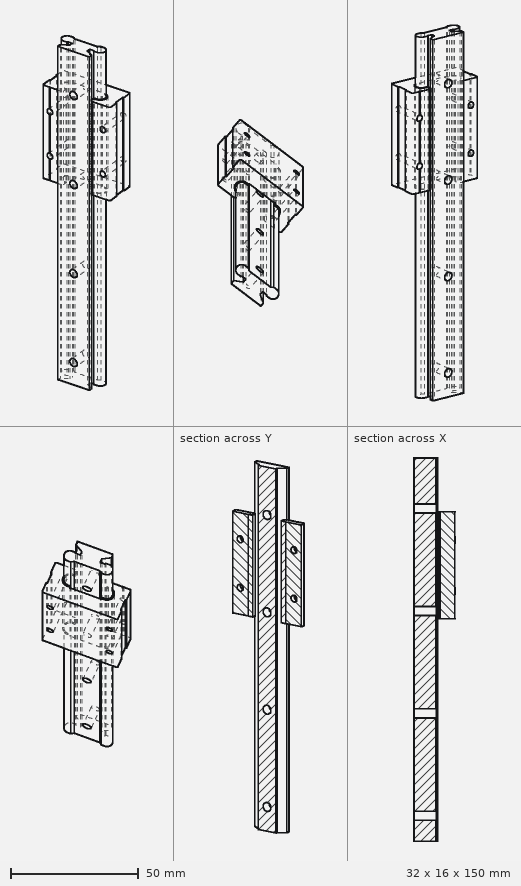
import cadquery as cq
import math


rail_length = 150.0
rail_base_width = 15.0
rail_base_edge = 1.6
rail_neck_width = 8.4
flank_angle = 30.0
head_width = 20.4
head_thickness = 4.6
head_axis = 7.0
head_flat_inner = 6.5
trough_depth = 0.8
trough_floor_width = 10.8
neck_relief = 0.38
rail_hole_diameter = 3.5
rail_hole_pitch = 40.0
rail_hole_count = 4
rail_hole_end_distance = 10.0

carriage_length = 42.0
carriage_middle = 33.0
carriage_width = 32.0
carriage_front = 2.0
carriage_back = 16.0
carriage_edge_radius = 0.52
opening_width = 13.2
lip_clearance = 0.5
ceiling_relief = 0.3
side_groove_depth = 0.5
side_groove_width = 4.8
side_groove_middle = 9.2
mark_groove_size = 0.22
carriage_hole_diameter = 2.5
carriage_hole_spacing_x = 25.0
carriage_hole_spacing_z = 20.0

liner_thickness = 0.52

flank_slope = math.tan(math.radians(flank_angle))
flank_top = rail_base_edge + flank_slope * (rail_base_width - rail_neck_width) / 2
head_radius = head_thickness / 2
arc_axis_x = head_width / 2 - head_radius
head_top = head_axis + head_radius
head_bottom = head_axis - head_radius
pocket_radius = head_radius + liner_thickness
pocket_top = head_axis + pocket_radius
pocket_bottom = head_axis - pocket_radius
carriage_bottom = carriage_middle - carriage_length / 2
lip_x = opening_width / 2


def flank_height(x):
    """Height of the rail flank at a distance x from the middle."""
    return rail_base_edge + flank_slope * (rail_base_width / 2 - x)


def cross_holes(places, diameter):
    """Round cutters along Y, long enough to pass through any body."""
    return (
        cq.Workplane("XZ", origin=(0, 2 * carriage_back, 0))
        .pushPoints(places)
        .circle(diameter / 2)
        .extrude(3 * carriage_back)
    )


def make_rail():
    half_base = rail_base_width / 2
    half_neck = rail_neck_width / 2
    trough_x = trough_floor_width / 2
    relief_x = head_flat_inner - neck_relief
    half_section = (
        cq.Workplane("XY", origin=(0, 0, -rail_length / 2))
        .lineTo(half_base, 0)
        .lineTo(half_base, rail_base_edge)
        .lineTo(half_neck, flank_top)
        .lineTo(half_neck, head_bottom + neck_relief)
        .lineTo(relief_x, head_bottom + neck_relief)
        .lineTo(head_flat_inner, head_bottom)
        .lineTo(arc_axis_x, head_bottom)
        .threePointArc((head_width / 2, head_axis), (arc_axis_x, head_top))
        .lineTo(head_flat_inner, head_top)
        .lineTo(trough_x, head_top - trough_depth)
        .lineTo(0, head_top - trough_depth)
        .close()
        .extrude(rail_length)
    )
    body = half_section.union(half_section.mirror("YZ"))
    first_hole = rail_hole_end_distance - rail_length / 2
    places = [(0, first_hole + i * rail_hole_pitch) for i in range(rail_hole_count)]
    return body.cut(cross_holes(places, rail_hole_diameter))


def carriage_sketch():
    return cq.Workplane("XY", origin=(0, 0, carriage_bottom))


def make_cavity():
    """Space inside the carriage for the rail head, the liners and the rail flanks."""
    lip_bevel_top = flank_height(lip_x) + lip_clearance
    lip_bevel_bottom_x = lip_x + (lip_bevel_top - carriage_front) / flank_slope
    half_cavity = (
        carriage_sketch()
        .moveTo(0, carriage_front)
        .lineTo(lip_bevel_bottom_x, carriage_front)
        .lineTo(lip_x, lip_bevel_top)
        .lineTo(lip_x, pocket_bottom)
        .lineTo(arc_axis_x, pocket_bottom)
        .threePointArc((arc_axis_x + pocket_radius, head_axis), (arc_axis_x, pocket_top))
        .lineTo(lip_x, pocket_top)
        .lineTo(lip_x, pocket_top + ceiling_relief)
        .lineTo(0, pocket_top + ceiling_relief)
        .close()
        .extrude(carriage_length)
    )
    return half_cavity.union(half_cavity.mirror("YZ"))


def make_side_grooves():
    """Shallow rectangular grooves along both sides of the carriage."""
    return (
        carriage_sketch()
        .pushPoints([(side * carriage_width / 2, side_groove_middle) for side in (-1, 1)])
        .rect(2 * side_groove_depth, side_groove_width)
        .extrude(carriage_length)
    )


def make_mark_groove():
    """V-shaped line along the front face, through the holes on the -X side."""
    x = -carriage_hole_spacing_x / 2
    return (
        carriage_sketch()
        .moveTo(x - mark_groove_size, carriage_front)
        .lineTo(x + mark_groove_size, carriage_front)
        .lineTo(x, carriage_front + mark_groove_size)
        .close()
        .extrude(carriage_length)
    )


def make_carriage():
    depth = carriage_back - carriage_front
    block = (
        carriage_sketch()
        .center(0, carriage_front + depth / 2)
        .rect(carriage_width, depth)
        .extrude(carriage_length)
        .edges("|Z")
        .fillet(carriage_edge_radius)
    )
    places = [
        (i * carriage_hole_spacing_x / 2, carriage_middle + j * carriage_hole_spacing_z / 2)
        for i in (-1, 1)
        for j in (-1, 1)
    ]
    holes = cross_holes(places, carriage_hole_diameter)
    return block.cut(make_cavity()).cut(make_side_grooves()).cut(make_mark_groove()).cut(holes)


def make_liner(side):
    """C-shaped strip around one edge of the rail head; side is -1 or 1."""
    arc_x = side * arc_axis_x
    end_x = side * lip_x
    return (
        carriage_sketch()
        .moveTo(end_x, pocket_bottom)
        .lineTo(arc_x, pocket_bottom)
        .threePointArc((arc_x + side * pocket_radius, head_axis), (arc_x, pocket_top))
        .lineTo(end_x, pocket_top)
        .lineTo(end_x, head_top)
        .lineTo(arc_x, head_top)
        .threePointArc((arc_x + side * head_radius, head_axis), (arc_x, head_bottom))
        .lineTo(end_x, head_bottom)
        .close()
        .extrude(carriage_length)
    )


rail = make_rail()
carriage = make_carriage()
liners = [make_liner(side) for side in (-1, 1)]

result = cq.Compound.makeCompound([rail.val(), carriage.val(), *[liner.val() for liner in liners]])